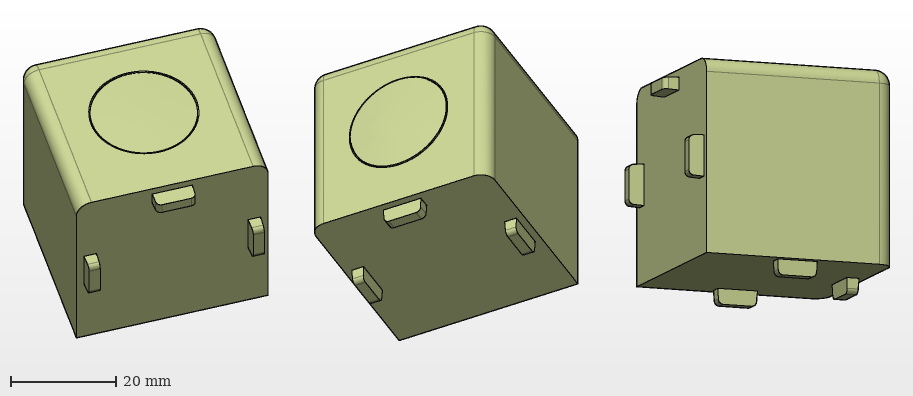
import cadquery as cq

cube_side = 38.1
edge_radius = 3.0

tab_length = 3.0
tab_width = 8.0
tab_thickness = 2.5
tab_draft = 3.0
tab_corner_radius = 1.0
tab_inset = 2.75

seat_diameter = 21.0
seat_bevel = 0.25
seat_depth = 1.25
dome_rise = 0.5
side_dome_height = 0.63
top_dome_height = 0.45

half_side = cube_side / 2
lens_radius = seat_diameter / 2 - seat_bevel

side_plane = cq.Plane(origin=(0, 0, -half_side), xDir=(0, 1, 0), normal=(-1, 0, 0))
top_plane = cq.Plane(origin=(half_side, 0, 0), xDir=(0, 1, 0), normal=(0, 0, 1))
right_plane = cq.Plane(origin=(cube_side, 0, -half_side), xDir=(0, 1, 0), normal=(1, 0, 0))
bottom_plane = cq.Plane(origin=(half_side, 0, -cube_side), xDir=(0, 1, 0), normal=(0, 0, -1))


def make_cube():
    """Cube with all edges rounded except those around the two joining faces."""
    cube = cq.Workplane("XY").box(cube_side, cube_side, cube_side)
    cube = cube.edges("not (>X or <Z)").fillet(edge_radius)
    return cube.translate((half_side, 0, -half_side))


def make_tab():
    """Drafted tab standing on Z = 0, wide along X, with its two outer corners rounded."""
    tab = cq.Workplane("XY").rect(tab_width, tab_thickness).extrude(tab_length, taper=tab_draft)
    return tab.faces(">Z").edges("|Y").fillet(tab_corner_radius)


def make_tab_set(outer_direction):
    """Three tabs along three sides of a face; the outer one lies at +Y or -Y, as outer_direction says."""
    reach = half_side - tab_inset
    tabs = [make_tab().translate((0, outer_direction * reach, 0))]
    for side in (-1, 1):
        tabs.append(make_tab().rotate((0, 0, 0), (0, 0, 1), 90).translate((side * reach, 0, 0)))
    return tabs


def place(shape, plane):
    """Move a shape from the origin onto a face plane."""
    return cq.Workplane(shape.val().moved(cq.Location(plane)))


def make_seat():
    """Cutter for a lens seat: a bore that opens out in a bevel at the cube face, Z = 0."""
    profile = (
        cq.Workplane("XZ")
        .moveTo(0, 0)
        .lineTo(seat_diameter / 2, 0)
        .lineTo(lens_radius, -seat_bevel)
        .lineTo(lens_radius, -seat_depth)
        .lineTo(0, -seat_depth)
        .close()
    )
    return profile.revolve(360, (0, 0, 0), (0, 1, 0))


def make_lens(dome_height):
    """Round lens that stands on the seat floor and ends in a shallow spherical dome."""
    rim_height = dome_height - dome_rise
    sphere_radius = (lens_radius**2 + dome_rise**2) / (2 * dome_rise)
    profile = (
        cq.Workplane("XZ")
        .moveTo(0, -seat_depth)
        .lineTo(lens_radius, -seat_depth)
        .lineTo(lens_radius, rim_height)
        .radiusArc((0, dome_height), -sphere_radius)
        .close()
    )
    return profile.revolve(360, (0, 0, 0), (0, 1, 0))


def make_housing():
    housing = make_cube()
    for plane, outer_direction in ((right_plane, 1), (bottom_plane, -1)):
        for tab in make_tab_set(outer_direction):
            housing = housing.union(place(tab, plane))
    for plane in (side_plane, top_plane):
        housing = housing.cut(place(make_seat(), plane))
    return housing


housing = make_housing()
side_lens = place(make_lens(side_dome_height), side_plane)
top_lens = place(make_lens(top_dome_height), top_plane)

result = cq.Compound.makeCompound([housing.val(), side_lens.val(), top_lens.val()])